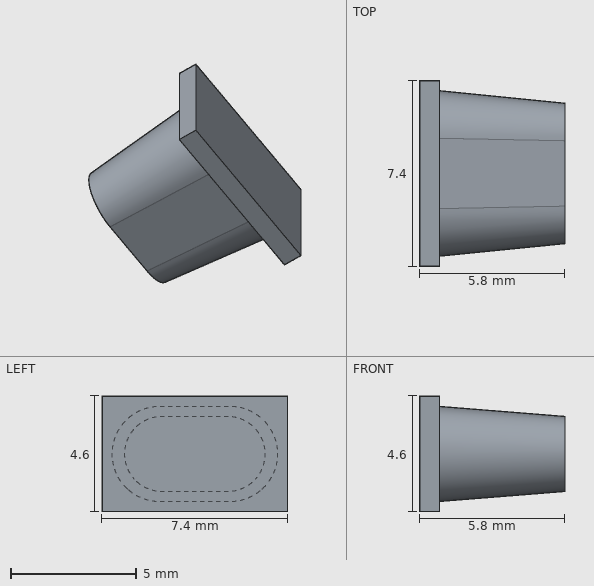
import cadquery as cq

plate_length = 7.4
plate_height = 4.6
plate_thickness = 0.8

plug_depth = 5.0
root_length = 6.6
root_height = 3.795
tip_length = 5.6
tip_height = 3.0


def make_plate():
    """Flange with its outer face on X = 0, centred on Y and Z."""
    return cq.Workplane("YZ").rect(plate_length, plate_height).extrude(plate_thickness)


def make_plug():
    """Ruled loft between two slot outlines whose ends are full half circles."""
    return (
        cq.Workplane("YZ", origin=(plate_thickness, 0, 0))
        .slot2D(root_length, root_height)
        .workplane(offset=plug_depth)
        .slot2D(tip_length, tip_height)
        .loft(ruled=True, combine=True)
    )


result = make_plate().union(make_plug())